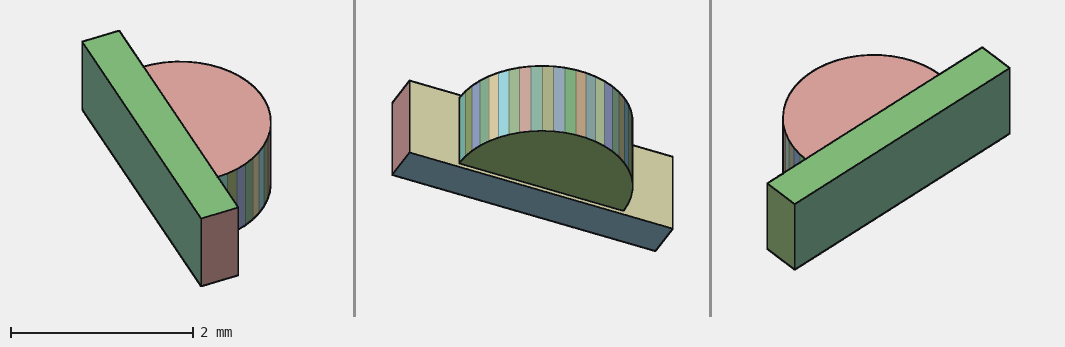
import cadquery as cq
import math

board_length = 3.2
board_thickness = 0.448
board_height = 1.0

overall_depth = 1.46
lens_radius = 1.0
lens_height = 0.902
facet_count = 25
facet_angle = math.pi / facet_count

rim_depth = lens_radius * math.cos(facet_angle / 2)
lens_depth = overall_depth - board_thickness
lens_straight = lens_depth - rim_depth


def make_board():
    """Plain rectangular plate centred on X and Z, with its back face at Y = 0."""
    return cq.Workplane("XY").box(
        board_length, board_thickness, board_height
    ).translate((0, -board_thickness / 2, 0))


def make_lens():
    """Half-round faceted lens seated on the back face of the board."""
    rim = [
        (
            lens_radius * math.cos(i * facet_angle),
            lens_straight + lens_radius * math.sin(i * facet_angle),
        )
        for i in range(facet_count + 1)
    ]
    outline = [(lens_radius, 0), *rim, (-lens_radius, 0)]
    return (
        cq.Workplane("XY")
        .workplane(offset=-lens_height / 2)
        .polyline(outline)
        .close()
        .extrude(lens_height)
    )


board = make_board()
lens = make_lens()

result = cq.Compound.makeCompound([board.val(), lens.val()])